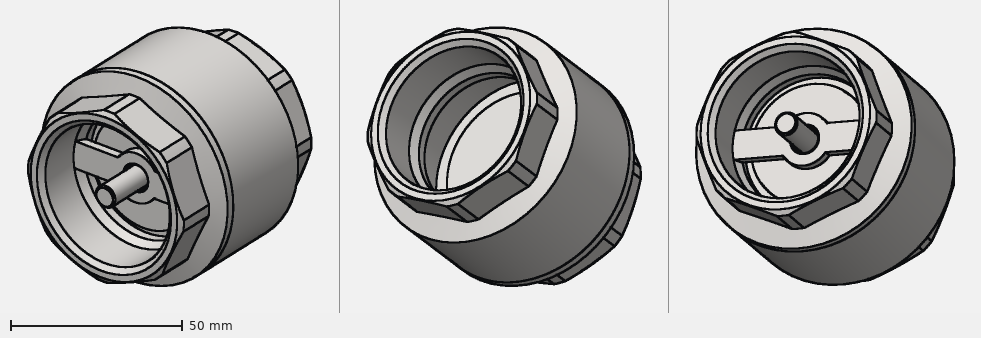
import cadquery as cq
import math


length = 65.0
outer_radius = 33.75
shoulder_depth = 15.05
shoulder_angle = 16.0
joint_depth = 17.9

octagon_sides = 8
octagon_flats = 53.5
octagon_corner_radius = 28.2
end_face_radius = 26.5
end_chamfer_angle = 30.0
cap_turn = 2.4

socket_radius = 22.55
socket_chamfer = 1.75
socket_depth = 15.7
throat_radius = 21.0
throat_depth = 18.9
seat_depth = 22.3

chamber_radius = 28.35

bridge_width = 9.0
hub_radius = 8.1
guide_hole_radius = 4.02
guide_chamfer = 0.505

stem_radius = 3.5
stem_chamfer = 0.505
stem_tip_depth = 0.35
plate_radius = 18.5
plate_thickness = 2.0
seal_radius = 23.6
seal_thickness = 2.0

inlet_y = -length / 2
outlet_y = length / 2
joint_y = inlet_y + joint_depth
seat_y = inlet_y + seat_depth
seal_back_y = seat_y + seal_thickness
plate_front_y = seat_y - plate_thickness
bridge_thickness = throat_depth - socket_depth


def turned(profile):
    """Solid of revolution about Y from (radius, y) points."""
    return cq.Workplane("XY").polyline(profile).close().revolve(360, (0, 0), (0, 1))


def disc(radius, start_y, thickness):
    """Round disc on the valve axis, growing towards +Y."""
    return cq.Workplane("XZ", origin=(0, start_y, 0)).circle(radius).extrude(-thickness)


def turn_about_axis(body, angle):
    """Turn a body about Y; a positive angle carries the top towards +X."""
    return body.rotate((0, 0, 0), (0, 1, 0), angle)


def inlet_octagon():
    """Octagonal bar with rounded corners and a chamfered end face at the inlet."""
    corner_distance = octagon_flats / math.cos(math.pi / octagon_sides)
    prism = (
        cq.Workplane("XZ", origin=(0, inlet_y, 0))
        .polygon(octagon_sides, corner_distance)
        .extrude(-joint_depth)
    )
    chamfer_depth = (octagon_corner_radius - end_face_radius) * math.tan(math.radians(end_chamfer_angle))
    envelope = turned([
        (0, inlet_y),
        (end_face_radius, inlet_y),
        (octagon_corner_radius, inlet_y + chamfer_depth),
        (octagon_corner_radius, joint_y),
        (0, joint_y),
    ])
    return prism.intersect(envelope)


def inlet_shoulder():
    """Cone and short cylinder from the octagon up to the joint plane."""
    shoulder_y = inlet_y + shoulder_depth
    cone_base_radius = socket_radius
    cone_height = (outer_radius - cone_base_radius) * math.tan(math.radians(shoulder_angle))
    return turned([
        (0, shoulder_y - cone_height),
        (cone_base_radius, shoulder_y - cone_height),
        (outer_radius, shoulder_y),
        (outer_radius, joint_y),
        (0, joint_y),
    ])


def inlet_bore():
    """Socket with its mouth chamfer, the cone and the throat, as a cutting tool."""
    return turned([
        (0, inlet_y),
        (socket_radius + socket_chamfer, inlet_y),
        (socket_radius, inlet_y + socket_chamfer),
        (socket_radius, inlet_y + socket_depth),
        (throat_radius, inlet_y + throat_depth),
        (throat_radius, seat_y),
        (0, seat_y),
    ])


def make_bridge():
    """Bar and round hub across the cap, with a chamfered guide hole for the stem."""
    plane = cq.Workplane("XZ", origin=(0, inlet_y + socket_depth, 0))
    bar = plane.rect(2 * socket_radius, bridge_width).extrude(-bridge_thickness)
    hub = plane.circle(hub_radius).extrude(-bridge_thickness)
    hole = plane.circle(guide_hole_radius).extrude(-bridge_thickness)
    bridge = bar.union(hub).intersect(inlet_bore()).cut(hole)
    return bridge.faces("<Y").edges(cq.selectors.RadiusNthSelector(0)).chamfer(guide_chamfer)


def make_cap():
    """Inlet end: octagon, shoulder, spigot inside the housing and guide bridge."""
    spigot = disc(chamber_radius, joint_y, seat_depth - joint_depth)
    shell = inlet_octagon().union(inlet_shoulder()).union(spigot).cut(inlet_bore())
    return turn_about_axis(shell.union(make_bridge()), cap_turn)


def make_housing():
    """Outlet end, mirrored from the inlet shape, plus the cylinder over the chamber."""
    outlet_end = inlet_octagon().union(inlet_shoulder()).mirror("XZ")
    barrel = disc(outer_radius, joint_y, -2 * joint_y)
    chamber_end_y = outlet_y - seat_depth
    chamber = disc(chamber_radius, joint_y, chamber_end_y - joint_y)
    return outlet_end.union(barrel).cut(inlet_bore().mirror("XZ")).cut(chamber)


def make_stem():
    """Round rod from just inside the inlet face to the back of the seal disc."""
    tip_y = inlet_y + stem_tip_depth
    rod = disc(stem_radius, tip_y, seal_back_y - tip_y)
    return rod.faces("<Y").chamfer(stem_chamfer)


def make_stem_collar(radius, start_y, thickness):
    """Disc with a centre hole that fits the stem."""
    return disc(radius, start_y, thickness).cut(disc(stem_radius, start_y, thickness))


housing = make_housing()
cap = make_cap()
stem = make_stem()
retaining_plate = make_stem_collar(plate_radius, plate_front_y, plate_thickness)
seal_disc = make_stem_collar(seal_radius, seat_y, seal_thickness)

result = cq.Compound.makeCompound([
    housing.val(),
    cap.val(),
    stem.val(),
    retaining_plate.val(),
    seal_disc.val(),
])